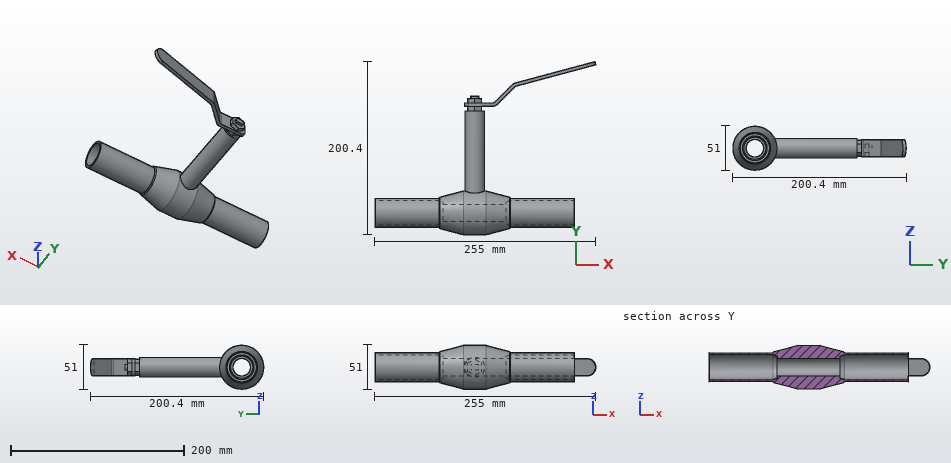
import cadquery as cq
import math

PIPE_LENGTH = 230.0
PIPE_DIAMETER = 33.7
PIPE_BORE = 28.5
PORT_DIAMETER = 20.0
BORE_CONE_DIAMETER = 25.5
BORE_CONE_LENGTH = 5.0
BODY_DIAMETER = 51.0
BODY_LENGTH = 82.8
BODY_CYLINDER_LENGTH = 25.5
CONE_END_DIAMETER = 36.5
BODY_END_CHAMFER = 1.3

NECK_DIAMETER = 23.0
NECK_TOP = 118.0
SPINDLE_DIAMETER = 10.0
SPINDLE_FLATS = 6.0
SPINDLE_TOP = 135.0

NUT_ACROSS_FLATS = 16.2
LOWER_NUT_HEIGHT = 5.0
UPPER_NUT_HEIGHT = 5.0

LEVER_WIDTH = 20.0
LEVER_THICKNESS = 4.0
LEVER_BACK_X = -12.0
LEVER_BACK_CORNER_RADIUS = 5.0
LEVER_BEND_RADIUS = 4.0
RISE_START_X = 22.2
RISE_ANGLE = 45.0
GRIP_ANGLE = 15.0
LEVER_TIP_X = 140.0
LEVER_TIP_Y = 174.87


def cylinder_along_y(diameter, start, end):
    """Round bar on the Y axis between two Y positions."""
    return cq.Workplane("XZ", origin=(0, start, 0)).circle(diameter / 2).extrude(start - end)


def revolve_mirrored(right_side):
    """Revolve (x, radius) points and their mirror image in x around the X axis."""
    left_side = [(-x, radius) for x, radius in reversed(right_side)]
    return cq.Workplane("XY").polyline(left_side + right_side).close().revolve(360, (0, 0), (1, 0))


def make_body():
    """Solid of revolution: pipe, cone, cylinder, cone, pipe."""
    half_pipe = PIPE_LENGTH / 2
    half_body = BODY_LENGTH / 2
    half_cylinder = BODY_CYLINDER_LENGTH / 2
    cone_end = half_body - BODY_END_CHAMFER
    pipe_radius = PIPE_DIAMETER / 2
    cone_end_radius = CONE_END_DIAMETER / 2
    body_radius = BODY_DIAMETER / 2
    face_radius = cone_end_radius - BODY_END_CHAMFER
    right_side = [
        (half_cylinder, body_radius),
        (cone_end, cone_end_radius),
        (half_body, face_radius),
        (half_body, pipe_radius),
        (half_pipe, pipe_radius),
        (half_pipe, 0),
    ]
    return revolve_mirrored(right_side)


def make_bores():
    """Pipe bores narrowing through short cones to the port that crosses the body."""
    half_pipe = PIPE_LENGTH / 2
    shoulder = BODY_LENGTH / 2
    cone_inner_end = shoulder - BORE_CONE_LENGTH
    port_radius = PORT_DIAMETER / 2
    cone_radius = BORE_CONE_DIAMETER / 2
    bore_radius = PIPE_BORE / 2
    right_side = [
        (cone_inner_end, port_radius),
        (cone_inner_end, cone_radius),
        (shoulder, bore_radius),
        (half_pipe, bore_radius),
        (half_pipe, 0),
    ]
    return revolve_mirrored(right_side)


def make_spindle():
    """Round spindle with two flats facing +Z and -Z."""
    height = SPINDLE_TOP - NECK_TOP
    middle = (0, NECK_TOP + height / 2, 0)
    flats = cq.Workplane("XY", origin=middle).box(SPINDLE_DIAMETER, height, SPINDLE_FLATS)
    return cylinder_along_y(SPINDLE_DIAMETER, NECK_TOP, SPINDLE_TOP).intersect(flats)


def make_nut(base, height):
    """Hexagon along Y with corners pointing along +Z and -Z."""
    across_corners = NUT_ACROSS_FLATS / math.cos(math.radians(30))
    return (
        cq.Workplane("XZ", origin=(0, base, 0))
        .transformed(rotate=(0, 0, 90))
        .polygon(6, across_corners)
        .extrude(-height)
    )


def make_lever(base):
    """Flat strip bent up by the rise angle, then back to the grip angle."""
    rise = math.radians(RISE_ANGLE)
    grip = math.radians(GRIP_ANGLE)
    top = base + LEVER_THICKNESS

    tip_top = (LEVER_TIP_X - LEVER_THICKNESS * math.sin(grip), LEVER_TIP_Y)
    tip_bottom = (LEVER_TIP_X, LEVER_TIP_Y - LEVER_THICKNESS * math.cos(grip))
    rise_offset = top - RISE_START_X * math.tan(rise)
    grip_offset = tip_top[1] - tip_top[0] * math.tan(grip)
    bend_x = (grip_offset - rise_offset) / (math.tan(rise) - math.tan(grip))
    upper_start = (RISE_START_X, top)
    upper_end = (bend_x, bend_x * math.tan(rise) + rise_offset)

    start_shift = LEVER_THICKNESS * math.tan(rise / 2)
    mitre = (rise + grip) / 2
    mitre_length = LEVER_THICKNESS / math.cos((rise - grip) / 2)
    lower_start = (upper_start[0] + start_shift, base)
    lower_end = (
        upper_end[0] + mitre_length * math.sin(mitre),
        upper_end[1] - mitre_length * math.cos(mitre),
    )

    strip = (
        cq.Workplane("XY")
        .polyline([
            (LEVER_BACK_X, base), lower_start, lower_end, tip_bottom,
            tip_top, upper_end, upper_start, (LEVER_BACK_X, top),
        ])
        .close()
        .extrude(LEVER_WIDTH / 2, both=True)
    )
    outer_radius = LEVER_BEND_RADIUS + LEVER_THICKNESS
    bends = (
        (upper_start, LEVER_BEND_RADIUS),
        (lower_start, outer_radius),
        (lower_end, LEVER_BEND_RADIUS),
        (upper_end, outer_radius),
    )
    for corner, radius in bends:
        strip = strip.edges(cq.selectors.NearestToPointSelector((*corner, 0))).fillet(radius)
    strip = strip.faces("<X").edges("|Y").fillet(LEVER_BACK_CORNER_RADIUS)
    return strip.intersect(make_tip_outline(tip_bottom, grip))


def make_tip_outline(tip_bottom, grip):
    """Tall block along the grip whose far end is a full half round."""
    radius = LEVER_WIDTH / 2
    length = 2 * LEVER_TIP_X
    along_grip = (math.cos(grip), math.sin(grip), 0)
    across_grip = (-math.sin(grip), math.cos(grip), 0)
    plane = cq.Plane(origin=(*tip_bottom, 0), xDir=along_grip, normal=across_grip)
    return (
        cq.Workplane(plane)
        .moveTo(-length, radius)
        .lineTo(-radius, radius)
        .threePointArc((0, 0), (-radius, -radius))
        .lineTo(-length, -radius)
        .close()
        .extrude(length, both=True)
    )


lever_base = NECK_TOP + LOWER_NUT_HEIGHT
lever_top = lever_base + LEVER_THICKNESS

result = (
    make_body()
    .union(cylinder_along_y(NECK_DIAMETER, 0, NECK_TOP))
    .cut(make_bores())
    .union(make_spindle())
    .union(make_nut(NECK_TOP, LOWER_NUT_HEIGHT))
    .union(make_nut(lever_top, UPPER_NUT_HEIGHT))
    .union(make_lever(lever_base))
)